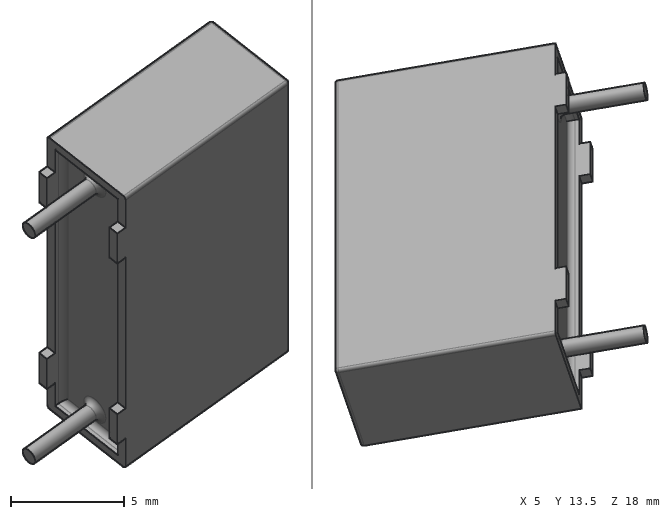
import cadquery as cq
import math

case_width = 5.0
case_depth = 10.0
case_height = 18.0
edge_radius = 0.15

wall = 0.5
recess_depth = 0.5
floor_radius = 0.3

tab_height = 0.5
tab_length = 2.0
tab_end_distance = 2.0

pin_diameter = 0.8
pin_pitch = 15.0
pin_length = 3.5
pin_foot_radius = 0.3
pin_embedding = 0.5


def make_case():
    """Box with rounded edges everywhere except around the rim."""
    case = cq.Workplane("XY").box(case_width, case_depth, case_height)
    case = case.translate((0, case_depth / 2, 0))
    return case.edges("|Y or >Y").fillet(edge_radius)


def make_recess():
    """Volume of the recess, rounded where its walls meet the floor."""
    recess = cq.Workplane("XY").box(case_width - 2 * wall, recess_depth, case_height - 2 * wall)
    recess = recess.translate((0, recess_depth / 2, 0))
    return recess.edges(">Y").fillet(floor_radius)


def make_tab(x_side, z_side):
    """Tab on one side wall, standing out beyond the rim."""
    tab_x = x_side * (case_width - wall) / 2
    tab_z = z_side * (case_height / 2 - tab_end_distance - tab_length / 2)
    tab = cq.Workplane("XY").box(wall, tab_height, tab_length)
    return tab.translate((tab_x, -tab_height / 2, tab_z))


def make_pin(z_side):
    """Pin with a concave foot flaring out onto the recess floor."""
    pin_radius = pin_diameter / 2
    foot_top = recess_depth - pin_foot_radius
    root = recess_depth + pin_embedding
    bend = pin_foot_radius * (1 - math.cos(math.pi / 4))
    profile = (
        cq.Workplane("XY")
        .moveTo(0, -pin_length)
        .lineTo(pin_radius, -pin_length)
        .lineTo(pin_radius, foot_top)
        .threePointArc(
            (pin_radius + bend, recess_depth - bend),
            (pin_radius + pin_foot_radius, recess_depth),
        )
        .lineTo(pin_radius + pin_foot_radius, root)
        .lineTo(0, root)
        .close()
    )
    pin = profile.revolve(360, (0, 0, 0), (0, 1, 0))
    return pin.translate((0, 0, z_side * pin_pitch / 2))


result = make_case().cut(make_recess())
for z_side in (-1, 1):
    result = result.union(make_pin(z_side))
    for x_side in (-1, 1):
        result = result.union(make_tab(x_side, z_side))